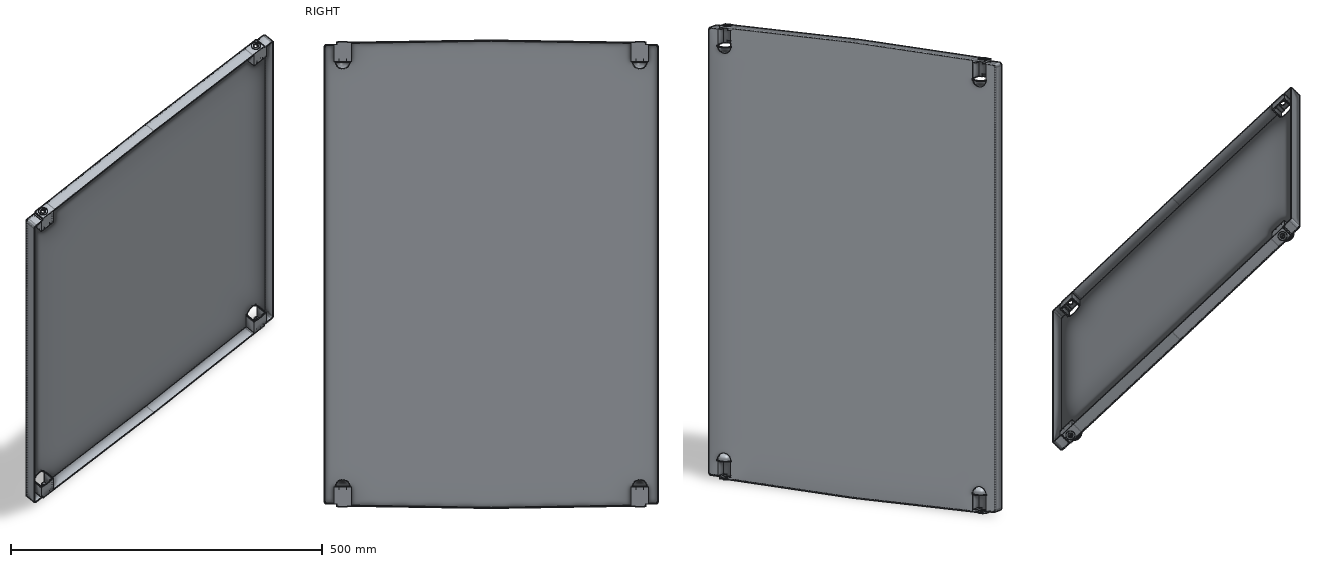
import cadquery as cq

WIDTH = 536.86
HEIGHT = 751.86
DEPTH = 20.0
SHEET = 2.0
BEND_RADIUS = 1.9
CORNER_RADIUS = 5.0

SHOULDER_DROP = 3.4
END_DROP = 7.0
SHOULDER_START = 222.0

POCKET_EDGE_DISTANCE = 30.0
POCKET_WIDTH = 23.6
RIM_DROP = 34.6
END_PLATE = 5.0
KEYWAY_WIDTH = 12.0
BEVEL_WIDTH = 12.0
BEVEL_HEIGHT = 5.0
SCREW_HOLE_DIAMETER = 8.0
SCREW_BOSS_DIAMETER = 14.5
SCREW_BOSS_HEIGHT = 1.2

HOOD_PROJECTION = 10.32
LIP_RADIUS = 14.0
LIP_HEIGHT = 1.2
DOME_RADIUS = 13.0
HOOD_WALL = 1.5

OVERCUT = 1.0

half_width = WIDTH / 2
half_height = HEIGHT / 2
shoulder_z = half_height - SHOULDER_DROP
end_z = half_height - END_DROP
pocket_y = half_width - POCKET_EDGE_DISTANCE
shoulder_end = pocket_y + POCKET_WIDTH / 2 - SHEET
rim_z = half_height - RIM_DROP
pocket_top = shoulder_z - END_PLATE
pocket_floor = DEPTH - SHEET
screw_x = DEPTH / 2
hood_x = LIP_RADIUS - HOOD_PROJECTION


def span_box(x_range, y_range, z_range):
    """Box between the given limits along each axis."""
    lows, highs = zip(x_range, y_range, z_range)
    sizes = [high - low for low, high in zip(lows, highs)]
    return cq.Workplane("XY").box(*sizes, centered=False).translate(lows)


def centred_on_pocket(width):
    return (pocket_y - width / 2, pocket_y + width / 2)


def outline_prism(depth, inset=0.0):
    """Panel outline extruded along +X, with every edge moved inward by inset."""
    side = half_width - inset
    end = end_z - inset
    shoulder = shoulder_z - inset
    step_y = shoulder_end - inset
    right_half = [
        (SHOULDER_START, shoulder),
        (step_y, shoulder),
        (step_y, end),
        (side, end),
    ]
    top = [(-y, z) for y, z in reversed(right_half)] + [(0, half_height - inset)] + right_half
    bottom = [(y, -z) for y, z in reversed(top)]
    prism = cq.Workplane("YZ").polyline(top + bottom).close().extrude(depth)
    for y_sign in (-1, 1):
        for z_sign in (-1, 1):
            y, z = y_sign * side, z_sign * end
            corner = cq.selectors.BoxSelector(
                (-OVERCUT, y - OVERCUT, z - OVERCUT),
                (depth + OVERCUT, y + OVERCUT, z + OVERCUT),
            )
            prism = prism.edges("|X").edges(corner).fillet(CORNER_RADIUS - inset)
    return prism


def make_pan():
    outer = outline_prism(DEPTH).faces("<X").edges().fillet(BEND_RADIUS)
    return outer.cut(outline_prism(DEPTH, SHEET).translate((SHEET, 0, 0)))


def pocket_walls():
    """Solid block that holds the pocket, kept below the bent edge of the flange."""
    return span_box(
        (SHEET / 2, DEPTH),
        centred_on_pocket(POCKET_WIDTH + 2 * SHEET),
        (rim_z, shoulder_z - SHEET / 2),
    ).intersect(outline_prism(DEPTH, SHEET / 2))


def pocket_void():
    """Open-fronted pocket with a keyway at its outer end, a bevelled floor end and a screw hole."""
    void = span_box(
        (-OVERCUT, pocket_floor),
        centred_on_pocket(POCKET_WIDTH),
        (rim_z - OVERCUT, pocket_top),
    )
    keyway = span_box(
        (-OVERCUT, pocket_floor), centred_on_pocket(KEYWAY_WIDTH), (rim_z, shoulder_z - SHEET)
    )
    floor_bevel = (
        cq.Workplane("XZ", origin=(0, pocket_y + BEVEL_WIDTH / 2, 0))
        .polyline([(pocket_floor, rim_z), (DEPTH, rim_z), (pocket_floor, rim_z + BEVEL_HEIGHT)])
        .close()
        .extrude(BEVEL_WIDTH)
    )
    screw_plane = cq.Workplane("XY", origin=(screw_x, pocket_y, pocket_top))
    hole = screw_plane.circle(SCREW_HOLE_DIAMETER / 2).extrude(END_PLATE + SCREW_BOSS_HEIGHT)
    return void.union(keyway).union(floor_bevel).union(hole)


def screw_boss():
    """Low round boss on the flange around the screw hole."""
    return (
        cq.Workplane("XY", origin=(screw_x, pocket_y, shoulder_z - SHEET))
        .circle(SCREW_BOSS_DIAMETER / 2)
        .extrude(SHEET + SCREW_BOSS_HEIGHT)
    )


def bowl(radius):
    """Lower half of a ball centred on the hood axis at the rim."""
    return (
        cq.Workplane("XY")
        .sphere(radius, angle1=-90, angle2=0)
        .translate((hood_x, pocket_y, rim_z))
    )


def hood_outside():
    lip = (
        cq.Workplane("XY", origin=(hood_x, pocket_y, rim_z - LIP_HEIGHT))
        .circle(LIP_RADIUS)
        .extrude(LIP_HEIGHT)
    )
    ahead_of_back = span_box(
        (-LIP_RADIUS, SHEET),
        centred_on_pocket(2 * LIP_RADIUS),
        (rim_z - 2 * LIP_RADIUS, rim_z),
    )
    return lip.union(bowl(DOME_RADIUS)).intersect(ahead_of_back)


def with_pocket(pan):
    """Add one pocket and hood at the +Y, +Z corner."""
    solid = pan.union(pocket_walls()).union(screw_boss()).union(hood_outside())
    return solid.cut(pocket_void()).cut(bowl(DOME_RADIUS - HOOD_WALL))


def make_panel():
    """Both symmetry planes repeat the one detailed quarter."""
    quarter_space = span_box((-LIP_RADIUS, DEPTH), (0, half_width), (0, half_height))
    quarter = with_pocket(make_pan()).intersect(quarter_space)
    half = quarter.union(quarter.mirror("XZ"))
    return half.union(half.mirror("XY"))


result = make_panel()